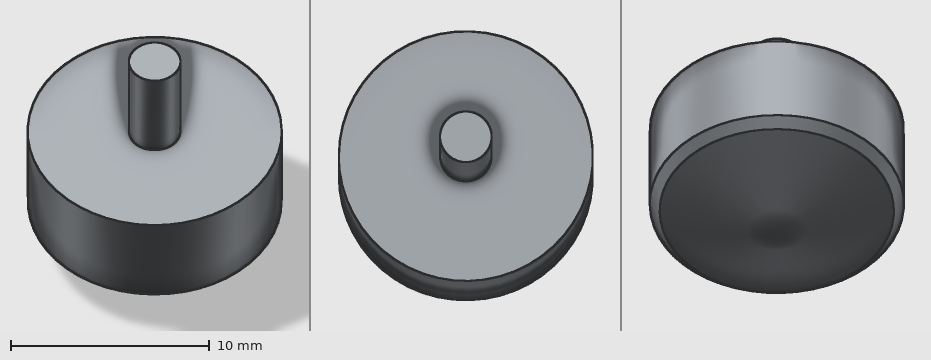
import cadquery as cq

body_diameter = 12.8
pin_diameter = 2.6
pin_length = 5.2
body_length = 5.2
chamfer = 0.5
tip_height = 1.8

body_radius = body_diameter / 2
pin_radius = pin_diameter / 2
cone_radius = body_radius - chamfer
body_bottom = tip_height + chamfer
body_top = body_bottom + body_length
pin_top = body_top + pin_length

half_section = (
    cq.Workplane("XZ")
    .moveTo(0, 0)
    .lineTo(cone_radius, tip_height)
    .lineTo(body_radius, body_bottom)
    .lineTo(body_radius, body_top)
    .lineTo(pin_radius, body_top)
    .lineTo(pin_radius, pin_top)
    .lineTo(0, pin_top)
    .close()
)
result = half_section.revolve(360, (0, 0, 0), (0, 1, 0))